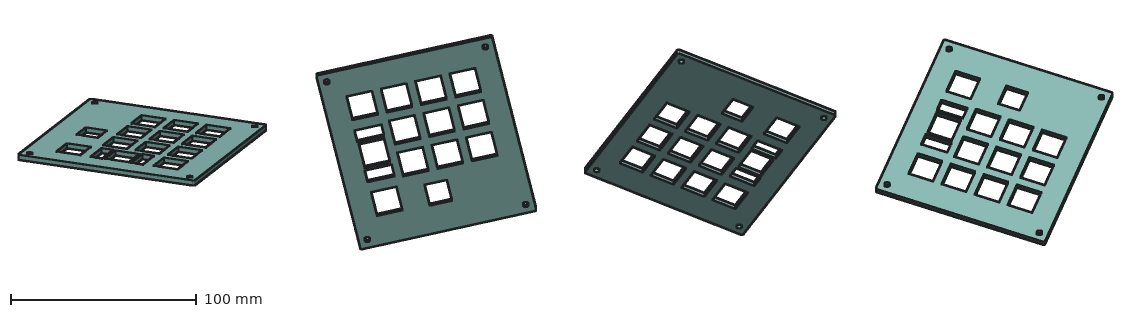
import cadquery as cq

length = 103.8
width = 97.5
thickness = 3.0
corner_radius = 1.0

hole_diameter = 2.9
hole_spacing_x = 94.1
hole_spacing_y = 87.8

key_size = 14.0
key_pitch = 19.05
last_column_x = 29.3
row_count = 4
column_count = 3
column_x = [last_column_x - key_pitch * (column_count - 1 - i) for i in range(column_count)]
row_y = [key_pitch * ((row_count - 1) / 2 - i) for i in range(row_count)]
bottom_row_y = row_y[-1]

wide_key_x = (column_x[0] + column_x[1]) / 2
stabiliser_offset = 11.9
stabiliser_width = 6.9
stabiliser_height = 15.0

window_size = 12.4
window_x = -29.5
window_y = -0.4


def cut_rectangles(body, centres, size_x, size_y):
    """Cut a rectangular opening through the plate at each centre."""
    cutter = cq.Workplane("XY").pushPoints(centres).rect(size_x, size_y).extrude(thickness)
    return body.cut(cutter)


plate = (
    cq.Workplane("XY")
    .rect(length, width)
    .extrude(thickness)
    .edges("|Z")
    .fillet(corner_radius)
)

plate = (
    plate.faces(">Z")
    .workplane()
    .rect(hole_spacing_x, hole_spacing_y, forConstruction=True)
    .vertices()
    .hole(hole_diameter)
)

key_centres = [(x, y) for x in column_x for y in row_y[:-1]]
bottom_row_x = [column_x[0] - key_pitch, wide_key_x, column_x[-1]]
key_centres += [(x, bottom_row_y) for x in bottom_row_x]
plate = cut_rectangles(plate, key_centres, key_size, key_size)

stabiliser_centres = [(wide_key_x + side * stabiliser_offset, bottom_row_y) for side in (-1, 1)]
plate = cut_rectangles(plate, stabiliser_centres, stabiliser_width, stabiliser_height)

plate = cut_rectangles(plate, [(window_x, window_y)], window_size, window_size)

result = plate